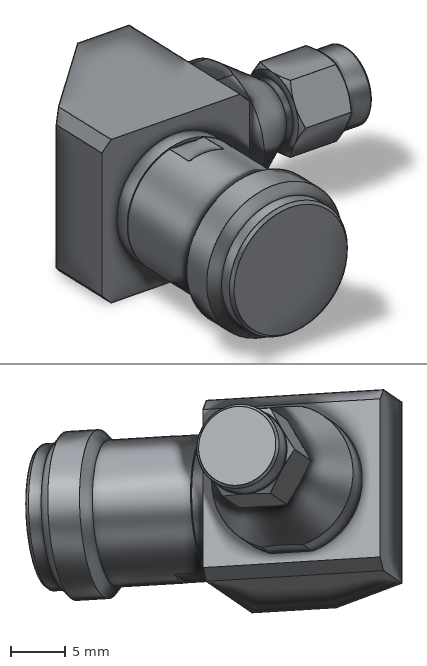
import cadquery as cq
import math

block_size = 17.0
corner_cut = 10.0
edge_chamfer = 1.07
axis_offset = block_size / 2

barrel_radius = 6.8
flat_width = 4.0
flat_height = math.sqrt(barrel_radius ** 2 - (flat_width / 2) ** 2)

large_length = 17.6
flange_length = 1.6
groove_width = 0.1
large_flat_end = 4.65
collar_radius = 7.8
collar_taper = 0.95
collar_start = 11.12
collar_end = 16.05
large_tip_length = 0.35
large_tip_step = 0.28

small_length = 17.65
small_barrel_length = 3.0
cone_end = 8.28
neck_radius = 3.2
nut_start = 9.0
nut_end = 15.0
nut_across_flats = 8.0
nut_corner_angle = 30
sleeve_radius = 3.95
sleeve_chamfer = 0.25


def make_housing():
    profile = [
        (corner_cut, 0),
        (block_size, 0),
        (block_size, block_size),
        (0, block_size),
        (0, corner_cut),
    ]
    block = cq.Workplane("XY").polyline(profile).close().extrude(block_size)
    return block.faces("<Y or >Y").edges("|X").chamfer(edge_chamfer)


def cut_wrench_flats(connector, start, end):
    """Cut flats on top and bottom of a connector that stands along Z, across its local Y."""
    reach = 2 * barrel_radius
    depth = barrel_radius
    for side in (1, -1):
        cutter = cq.Workplane("XY").box(reach, depth, end - start, centered=(True, True, False))
        connector = connector.cut(cutter.translate((0, side * (flat_height + depth / 2), start)))
    return connector


def revolve_profile(profile):
    """Revolve (radius, distance) points around the Z axis."""
    return cq.Workplane("XZ").polyline(profile).close().revolve(360, (0, 0), (0, 1))


def make_large_connector():
    barrel_start = flange_length + groove_width
    profile = [
        (0, 0),
        (barrel_radius, 0),
        (barrel_radius, flange_length),
        (flat_height, flange_length),
        (flat_height, barrel_start),
        (barrel_radius, barrel_start),
        (barrel_radius, collar_start),
        (collar_radius, collar_start + collar_taper),
        (collar_radius, collar_end - collar_taper),
        (barrel_radius, collar_end),
        (barrel_radius, large_length - large_tip_length),
        (barrel_radius - large_tip_step, large_length),
        (0, large_length),
    ]
    connector = cut_wrench_flats(revolve_profile(profile), barrel_start, large_flat_end)
    connector = connector.rotate((0, 0, 0), (0, 0, 1), 90).rotate((0, 0, 0), (0, 1, 0), 90)
    return connector.translate((block_size, axis_offset, axis_offset))


def make_coupling_nut():
    """Hexagon with its corners turned down to the inscribed circle at both ends."""
    inscribed_radius = nut_across_flats / 2
    corner_radius = inscribed_radius / math.cos(math.pi / 6)
    corner_drop = (corner_radius - inscribed_radius) * math.tan(math.radians(nut_corner_angle))
    turned = revolve_profile([
        (0, nut_start),
        (inscribed_radius, nut_start),
        (corner_radius, nut_start + corner_drop),
        (corner_radius, nut_end - corner_drop),
        (inscribed_radius, nut_end),
        (0, nut_end),
    ])
    hexagon = cq.Workplane("XY").workplane(offset=nut_start).polygon(6, 2 * corner_radius)
    return hexagon.extrude(nut_end - nut_start).intersect(turned)


def make_small_connector():
    profile = [
        (0, 0),
        (barrel_radius, 0),
        (barrel_radius, small_barrel_length),
        (neck_radius, cone_end),
        (neck_radius, nut_end),
        (sleeve_radius, nut_end),
        (sleeve_radius, small_length - sleeve_chamfer),
        (sleeve_radius - sleeve_chamfer, small_length),
        (0, small_length),
    ]
    connector = cut_wrench_flats(revolve_profile(profile), 0, cone_end)
    connector = connector.union(make_coupling_nut())
    connector = connector.rotate((0, 0, 0), (1, 0, 0), -90)
    return connector.translate((axis_offset, block_size, axis_offset))


housing = make_housing()
large_connector = make_large_connector()
small_connector = make_small_connector()

result = cq.Compound.makeCompound([
    housing.val(),
    large_connector.val(),
    small_connector.val(),
])